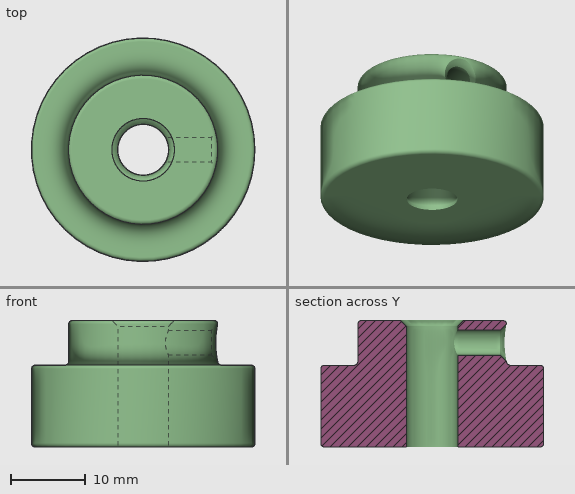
import cadquery as cq

body_diameter = 30.0
body_height = 11.0
hub_diameter = 20.0
total_height = 17.0
edge_radius = 0.5

bore_diameter = 6.8
bore_mouth_diameter = 8.4

screw_diameter = 3.3
screw_mouth_diameter = 4.98

body_radius = body_diameter / 2
hub_radius = hub_diameter / 2
screw_height = (body_height + total_height) / 2


def countersink(plane, hole_diameter, mouth_diameter):
    """45-degree cone narrowing from the plane, against its normal."""
    hole_radius = hole_diameter / 2
    mouth_radius = mouth_diameter / 2
    depth = mouth_radius - hole_radius
    return cq.Workplane(
        obj=cq.Solid.makeCone(mouth_radius, hole_radius, depth, plane.origin, -plane.zDir)
    )


def stepped_body():
    """Wide disc with a narrower hub, rounded on all three outer rims and at the hub foot."""
    profile = [
        (0, 0),
        (body_radius, 0),
        (body_radius, body_height),
        (hub_radius, body_height),
        (hub_radius, total_height),
        (0, total_height),
    ]
    solid = cq.Workplane("XZ").polyline(profile).close().revolve(360, (0, 0), (0, 1))
    return solid.edges("%CIRCLE").fillet(edge_radius)


def bore():
    top = cq.Plane(origin=(0, 0, total_height))
    hole = cq.Workplane("XY").circle(bore_diameter / 2).extrude(total_height)
    return hole.union(countersink(top, bore_diameter, bore_mouth_diameter))


def screw_hole():
    hub_side = cq.Plane(origin=(hub_radius, 0, screw_height), xDir=(0, 1, 0), normal=(1, 0, 0))
    hole = cq.Workplane("YZ", origin=(0, 0, screw_height)).circle(screw_diameter / 2).extrude(hub_radius)
    return hole.union(countersink(hub_side, screw_diameter, screw_mouth_diameter))


result = stepped_body().cut(bore()).cut(screw_hole())